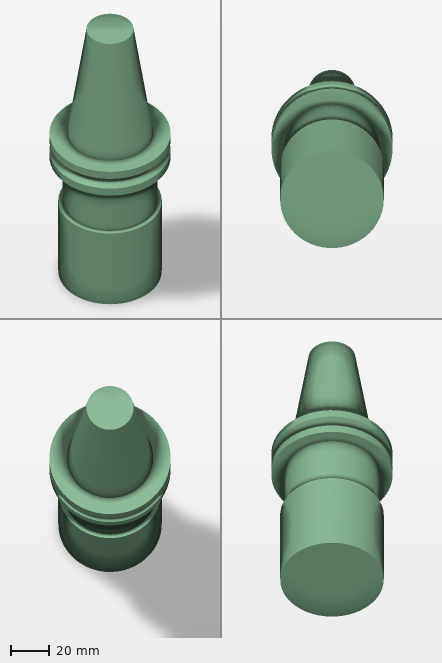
import cadquery as cq

total_height = 165.4
body_height = 48.3
flange_bottom = 78.0
flange_top = 94.3

body_diameter = 54.3
neck_diameter = 50.0
flange_diameter = 63.5
groove_diameter = 56.0
taper_base_diameter = 45.3
taper_tip_diameter = 24.6

rim_thickness = 4.8
groove_flank_height = 2.0
ledge_width = 0.8
ledge_height = 1.7


def cylinder(diameter, bottom, top):
    """Vertical cylinder on the Z axis between two heights."""
    return cq.Workplane("XY").workplane(offset=bottom).circle(diameter / 2).extrude(top - bottom)


def grooved_flange():
    """Flange turned from a half profile, with a groove between its two rims."""
    rim_radius = flange_diameter / 2
    floor_radius = groove_diameter / 2
    groove_bottom = flange_bottom + rim_thickness
    groove_top = flange_top - rim_thickness
    profile = [
        (0, flange_bottom),
        (rim_radius, flange_bottom),
        (rim_radius, groove_bottom),
        (floor_radius + ledge_width, groove_bottom + ledge_height),
        (floor_radius, groove_bottom + ledge_height),
        (floor_radius, groove_top - groove_flank_height),
        (rim_radius, groove_top),
        (rim_radius, flange_top),
        (0, flange_top),
    ]
    return cq.Workplane("XZ").polyline(profile).close().revolve(360, (0, 0), (0, 1))


def taper_shank():
    """Conical shank that narrows from the flange to the tip."""
    return (
        cq.Workplane("XY")
        .workplane(offset=flange_top)
        .circle(taper_base_diameter / 2)
        .workplane(offset=total_height - flange_top)
        .circle(taper_tip_diameter / 2)
        .loft(ruled=True)
    )


body = cylinder(body_diameter, 0, body_height)
neck = cylinder(neck_diameter, body_height, flange_bottom)
result = body.union(neck).union(grooved_flange()).union(taper_shank())